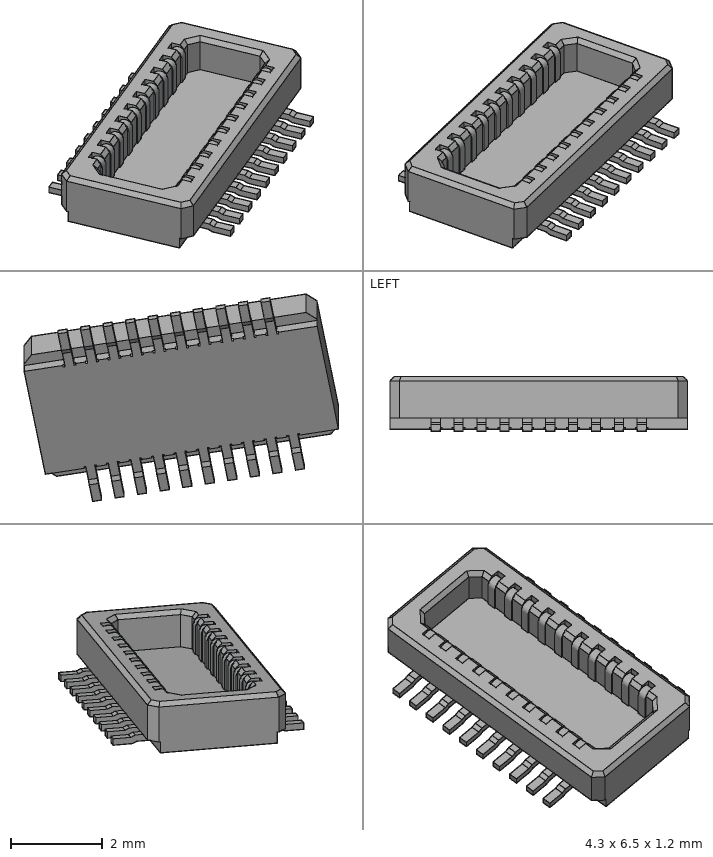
import cadquery as cq

housing_length = 6.5
housing_width = 3.12
housing_top = 1.2
shoulder_height = 0.3
outer_corner = 0.21
base_width = 2.64
rim_chamfer = 0.1

cavity_length = 5.51
cavity_width = 1.825
cavity_corner = 0.21
cavity_floor = 0.365

contacts_per_row = 10
row_span = 4.5
contact_pitch = row_span / (contacts_per_row - 1)
contact_width = 0.2
contact_inner = 0.885
contact_outer = 1.21
contact_crest = 1.145
crest_radius = 0.155

tail_tip = 2.15
tail_thickness = 0.15
tail_step = 0.045
bend_start = 1.755
bend_run = 0.105
bend_shift = 0.03

relief_width = 0.28
relief_size = 0.04


def cut_corner_block(width, length, corner, bottom):
    """Upright block with cut vertical corners, from bottom to the housing top."""
    block = cq.Workplane("XY", origin=(0, 0, bottom)).rect(width, length).extrude(housing_top - bottom)
    return block.edges("|Z").chamfer(corner)


def housing():
    """Rimmed block and base, hollowed by the flared cavity."""
    block = cut_corner_block(housing_width, housing_length, outer_corner, shoulder_height)
    base = cq.Workplane("XY", origin=(0, 0, tail_step)).rect(base_width, housing_length)
    base = base.extrude(shoulder_height - tail_step)
    cavity = cut_corner_block(cavity_width, cavity_length, cavity_corner, cavity_floor)
    hollow = block.union(base).cut(cavity)
    return hollow.faces(">Z").chamfer(rim_chamfer)


def strip(points, width):
    """Bar of the given width, centred on Y = 0, whose XZ outline joins the points."""
    outline = cq.Workplane("XZ", origin=(0, width / 2, 0)).polyline(points).close()
    return outline.extrude(width)


def bar(inner, outer, bottom, top):
    """Rectangular bar, one contact wide, between two X and two Z positions."""
    return strip([(inner, bottom), (outer, bottom), (outer, top), (inner, top)], contact_width)


def slot():
    """Opening in the cavity wall that one contact stands in."""
    return bar(contact_inner, contact_outer, cavity_floor, housing_top)


def tail_exit():
    """Recess in the side of the base that one tail leaves through."""
    return bar(contact_outer, base_width / 2, tail_step, shoulder_height)


def contact():
    """Upright contact with a rounded crest."""
    post = bar(contact_inner, contact_outer, cavity_floor, contact_crest)
    return post.faces(">Z").edges("|Y").fillet(crest_radius)


def tail():
    """Solder tail running out of the base and bending down to the board."""
    upper_bend = bend_start - bend_run
    points = [
        (contact_inner, tail_step),
        (upper_bend - bend_shift, tail_step),
        (bend_start - bend_shift, 0),
        (tail_tip, 0),
        (tail_tip, tail_thickness),
        (bend_start, tail_thickness),
        (upper_bend, tail_step + tail_thickness),
        (contact_inner, tail_step + tail_thickness),
    ]
    return strip(points, contact_width)


def relief():
    """Triangular bevel along the lower side edge of the base."""
    edge = base_width / 2
    points = [
        (edge - relief_size, tail_step),
        (edge, tail_step),
        (edge, tail_step + relief_size),
    ]
    return strip(points, relief_width)


def both_rows(feature):
    """Copies of a +X feature at every pitch position of both rows."""
    mirrored = feature.mirror("YZ")
    copies = cq.Workplane("XY")
    for index in range(contacts_per_row):
        y = (index - (contacts_per_row - 1) / 2) * contact_pitch
        copies = copies.add(feature.translate((0, y, 0))).add(mirrored.translate((0, y, 0)))
    return copies.combine(clean=False)


result = housing()
for opening in (slot(), tail_exit(), relief()):
    result = result.cut(both_rows(opening))
for metal in (contact(), tail()):
    result = result.union(both_rows(metal))